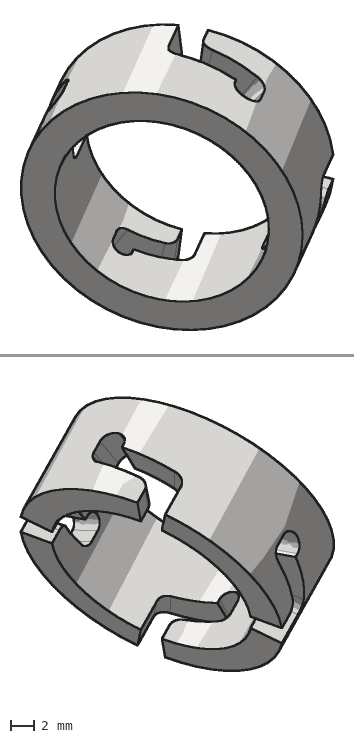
import cadquery as cq
import math

OUTER_RADIUS = 12.5
INNER_RADIUS = 9.5
RING_LENGTH = 10.0

SLOT_COUNT = 4
SLOT_WIDTH = 2.0
ENTRY_DEPTH = 3.12
CHANNEL_TRAVEL = 5.05
CHANNEL_RISE = 0.88
POCKET_DEPTH = 5.2
CORNER_FILLET = 1.0

OPEN_END_MARGIN = 0.5
CUTTER_INNER_HEIGHT = 0.7 * INNER_RADIUS
CUTTER_OUTER_HEIGHT = 1.1 * OUTER_RADIUS
CURVE_SAMPLES = 12


def polar_point(center, radius, angle):
    return (center[0] + radius * math.cos(angle), center[1] + radius * math.sin(angle))


def unrolled_slot():
    """Closed slot outline: x is inner arc length, y is depth from the open end."""
    half = SLOT_WIDTH / 2
    slope = math.atan2(CHANNEL_RISE, CHANNEL_TRAVEL)
    deep_side = slope + math.pi / 2
    shallow_side = slope - math.pi / 2

    entry = (0, ENTRY_DEPTH)
    turn = (CHANNEL_TRAVEL, ENTRY_DEPTH + CHANNEL_RISE)
    pocket_near = CHANNEL_TRAVEL - half
    pocket_far = CHANNEL_TRAVEL + half
    sharp_corner_depth = ENTRY_DEPTH + half / math.cos(slope) + pocket_near * math.tan(slope)

    fillet_x = half + CORNER_FILLET
    fillet_center = (
        fillet_x,
        ENTRY_DEPTH + fillet_x * math.tan(slope) - fillet_x / math.cos(slope),
    )
    fillet_middle = (deep_side + math.pi) / 2

    return (
        cq.Workplane("XY")
        .moveTo(-half, -OPEN_END_MARGIN)
        .lineTo(-half, ENTRY_DEPTH)
        .threePointArc(
            polar_point(entry, half, (math.pi + deep_side) / 2),
            polar_point(entry, half, deep_side),
        )
        .lineTo(pocket_near, sharp_corner_depth)
        .lineTo(pocket_near, POCKET_DEPTH)
        .threePointArc((CHANNEL_TRAVEL, POCKET_DEPTH + half), (pocket_far, POCKET_DEPTH))
        .lineTo(pocket_far, turn[1])
        .threePointArc(
            polar_point(turn, half, shallow_side / 2),
            polar_point(turn, half, shallow_side),
        )
        .lineTo(*polar_point(fillet_center, CORNER_FILLET, deep_side))
        .threePointArc(
            polar_point(fillet_center, CORNER_FILLET, fillet_middle),
            (half, fillet_center[1]),
        )
        .lineTo(half, -OPEN_END_MARGIN)
        .close()
        .val()
    )


def flat_section(outline, height):
    """Carry the unrolled outline along ring radii onto the plane Z = height."""
    parameters = [i / CURVE_SAMPLES for i in range(CURVE_SAMPLES + 1)]
    edges = []
    for edge in outline.Edges():
        points = [
            cq.Vector(height * math.tan(p.x / INNER_RADIUS), RING_LENGTH / 2 - p.y, height)
            for p in edge.positions(parameters)
        ]
        edges.append(cq.Edge.makeSpline(points, parameters=parameters))
    return cq.Wire.assembleEdges(edges)


def slot_cutter():
    outline = unrolled_slot()
    heights = (CUTTER_INNER_HEIGHT, CUTTER_OUTER_HEIGHT)
    sections = [flat_section(outline, height) for height in heights]
    return cq.Solid.makeLoft(sections, ruled=True)


ring = (
    cq.Workplane("XZ", origin=(0, RING_LENGTH / 2, 0))
    .circle(OUTER_RADIUS)
    .circle(INNER_RADIUS)
    .extrude(RING_LENGTH)
)

cutter = slot_cutter()
result = ring
for index in range(SLOT_COUNT):
    turn_angle = index * 360 / SLOT_COUNT
    result = result.cut(cq.Workplane(cutter.rotate((0, 0, 0), (0, 1, 0), turn_angle)))